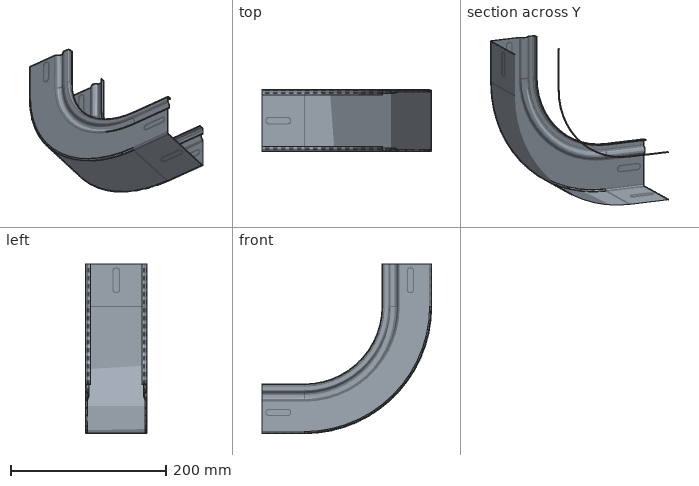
import cadquery as cq
import math


outer_size = 218.5
duct_width = 79.8
duct_depth = 63.8
leg_length = 54.9
bend_angle = 90
sheet = 0.9

fold_radius = 2.6
lip_width = 7.0
bead_height = 48.5
bead_radius = 5.7
bead_sink = 3.7
bead_blend = 2.2

slot_length = 32.1
slot_width = 8.0
slot_end_gap = 5.0
slot_height = 27.3

half_width = duct_width / 2
bend_radius = outer_size - leg_length
bend_axis_start = (leg_length, 0, bend_radius)
bend_axis_end = (leg_length, 1, bend_radius)

bead_center = (half_width + bead_radius - bead_sink, bead_height)
blend_inset = half_width - bead_blend
blend_run = bead_center[0] - blend_inset
blend_rise = math.sqrt((bead_radius + bead_blend) ** 2 - blend_run**2)
blend_sweep = math.atan2(blend_rise, blend_run)
half_fold = math.radians(45)


def on_circle(center, radius, angle):
    return (center[0] + radius * math.cos(angle), center[1] + radius * math.sin(angle))


def skin_steps(inset):
    """Steps along one skin of the +Y half, `inset` inwards of the outer skin.

    Each step is a straight run (end,) or an arc (middle, end), from mid-floor to the lip edge.
    """
    wall = half_width - inset
    lip = duct_depth - inset
    fold = fold_radius - inset
    blend = bead_blend - inset
    bead = bead_radius + inset

    floor_fold = (half_width - fold_radius, fold_radius)
    lip_fold = (half_width - fold_radius, duct_depth - fold_radius)
    lower_blend = (blend_inset, bead_height - blend_rise)
    upper_blend = (blend_inset, bead_height + blend_rise)
    return [
        ((floor_fold[0], inset),),
        (on_circle(floor_fold, fold, -half_fold), (wall, floor_fold[1])),
        ((wall, lower_blend[1]),),
        (on_circle(lower_blend, blend, blend_sweep / 2), on_circle(lower_blend, blend, blend_sweep)),
        (on_circle(bead_center, bead, math.pi), on_circle(bead_center, bead, math.pi - blend_sweep)),
        (on_circle(upper_blend, blend, -blend_sweep / 2), (wall, upper_blend[1])),
        ((wall, lip_fold[1]),),
        (on_circle(lip_fold, fold, half_fold), (lip_fold[0], lip)),
        ((half_width - lip_width, lip),),
    ]


def add_step(sketch, step):
    if len(step) == 1:
        return sketch.lineTo(*step[0])
    return sketch.threePointArc(*step)


def half_section(section_x):
    """Closed outline of the sheet on the +Y side, in the plane X = section_x."""
    sketch = cq.Workplane("YZ", origin=(section_x, 0, 0)).moveTo(0, 0)
    for step in skin_steps(0):
        sketch = add_step(sketch, step)

    inner = skin_steps(sheet)
    sketch = sketch.lineTo(*inner[-1][-1])
    for i in range(len(inner) - 1, 0, -1):
        step_start = inner[i - 1][-1]
        sketch = add_step(sketch, inner[i][:-1] + (step_start,))
    return sketch.lineTo(0, sheet).close()


def both_halves(half):
    return half.union(half.mirror("XZ"))


def straight_leg():
    return both_halves(half_section(0).extrude(leg_length))


def bend():
    """Quarter turn about an axis along -Y, from the +X direction up to +Z."""
    half = half_section(leg_length).revolve(bend_angle, (2.2, bend_radius), (0, bend_radius))
    return both_halves(half)


def slot_plug(plane, center, half_thickness):
    slot = cq.Workplane(plane, origin=center).slot2D(slot_length, slot_width)
    return slot.extrude(half_thickness, both=True)


def leg_slots():
    """Slot-shaped tools through the floor and both walls of the lower leg."""
    slot_x = slot_end_gap + slot_length / 2
    floor_slot = slot_plug("XY", (slot_x, 0, 0), fold_radius)
    wall_slots = slot_plug("XZ", (slot_x, 0, slot_height), duct_width)
    return floor_slot.union(wall_slots)


def upper_copy(lower):
    """The same shape at the other end of the bend."""
    mirrored = lower.mirror("YZ", (leg_length, 0, 0))
    return mirrored.rotate(bend_axis_start, bend_axis_end, -bend_angle)


lower_leg = straight_leg()
duct = bend().union(lower_leg).union(upper_copy(lower_leg))

lower_slots = leg_slots()
slots = lower_slots.union(upper_copy(lower_slots))
knockouts = duct.intersect(slots)
result = duct.cut(slots).union(knockouts, clean=False)